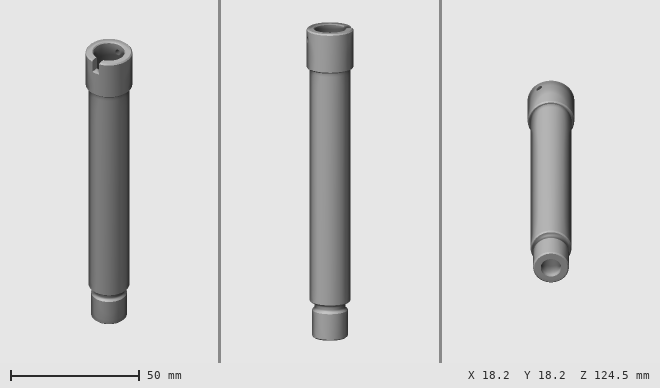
import cadquery as cq
import math

length = 124.5
head_radius = 9.1
head_height = 15.9
stem_radius = 8.0
spigot_radius = 7.0
edge_chamfer = 0.5

shoulder_z = 14.2
groove_radius = 6.0
groove_fillet = 1.0
groove_lower_z = 10.8

bore_radius = 4.0
middle_radius = 5.1
socket_radius = 6.1
socket_depth = 15.0
middle_depth = 19.9
socket_chamfer = 0.4

slot_width = 3.2
slot_depth = 5.4
hole_radius = 1.2
hole_depth = 4.0


def make_body():
    """Revolve the outer profile, including the undercut and edge chamfers."""
    head_bottom = length - head_height
    fillet_top_radius = groove_radius + groove_fillet

    diagonal = math.sin(math.pi / 4)
    blend_radius = groove_radius + groove_fillet * (1 - diagonal)
    blend_z = groove_lower_z + spigot_radius - blend_radius
    floor_z = blend_z + groove_fillet * diagonal
    mid_radius = groove_radius + groove_fillet * (1 - math.cos(math.pi / 8))
    mid_z = floor_z - groove_fillet * math.sin(math.pi / 8)

    profile = (
        cq.Workplane("XZ")
        .lineTo(spigot_radius - edge_chamfer, 0)
        .lineTo(spigot_radius, edge_chamfer)
        .lineTo(spigot_radius, groove_lower_z)
        .lineTo(blend_radius, blend_z)
        .threePointArc((mid_radius, mid_z), (groove_radius, floor_z))
        .lineTo(groove_radius, shoulder_z - groove_fillet)
        .threePointArc(
            (
                fillet_top_radius - groove_fillet * diagonal,
                shoulder_z - groove_fillet * (1 - diagonal),
            ),
            (fillet_top_radius, shoulder_z),
        )
        .lineTo(stem_radius - edge_chamfer, shoulder_z)
        .lineTo(stem_radius, shoulder_z + edge_chamfer)
        .lineTo(stem_radius, head_bottom)
        .lineTo(head_radius - edge_chamfer, head_bottom)
        .lineTo(head_radius, head_bottom + edge_chamfer)
        .lineTo(head_radius, length - edge_chamfer)
        .lineTo(head_radius - edge_chamfer, length)
        .lineTo(0, length)
        .close()
    )
    return profile.revolve(360, (0, 0, 0), (0, 1, 0))


def make_bore():
    """Revolve the through bore with its two wider steps and chamfered mouth."""
    middle_z = length - middle_depth
    socket_z = length - socket_depth
    profile = (
        cq.Workplane("XZ")
        .lineTo(bore_radius, 0)
        .lineTo(bore_radius, middle_z)
        .lineTo(middle_radius, middle_z)
        .lineTo(middle_radius, socket_z)
        .lineTo(socket_radius, socket_z)
        .lineTo(socket_radius, length - socket_chamfer)
        .lineTo(socket_radius + socket_chamfer, length)
        .lineTo(0, length)
        .close()
    )
    return profile.revolve(360, (0, 0, 0), (0, 1, 0))


def make_slot():
    """Open-topped slot on the -Y side, running from the axis outwards."""
    return cq.Workplane("XY").box(
        slot_width, head_radius, slot_depth, centered=(True, False, False)
    ).translate((0, -head_radius, length - slot_depth))


def make_cross_hole():
    """Round hole on the +Y side, opposite the slot."""
    return (
        cq.Workplane("XZ")
        .center(0, length - hole_depth)
        .circle(hole_radius)
        .extrude(-head_radius)
    )


result = make_body().cut(make_bore()).cut(make_slot()).cut(make_cross_hole())